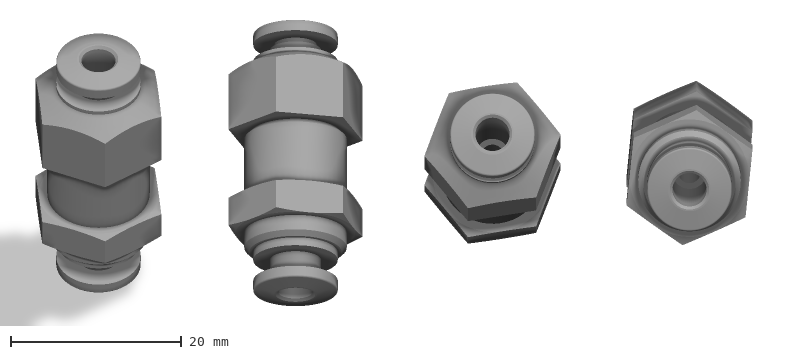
import cadquery as cq
import math

total_length = 33.0
hex_across_flats = 14.0
hex_across_corners = hex_across_flats / math.cos(math.radians(30))

release_radius = 9.9 / 2
neck_radius = 6.0 / 2
groove_radius = 5.0 / 2
body_radius = 12.0 / 2
passage_radius = 2.6 / 2
tube_radius = 4.0 / 2

lower_collar_bottom = 4.32
body_bottom = 5.3
nut_bottom = 7.72
nut_top = 11.7
head_bottom = 20.0
head_cone_top = 28.68
upper_collar_top = 29.17

button_length = 1.75
groove_length = 0.65
button_face_angle = 10.0
button_edge_round = 0.2

body_chamfer = 0.6
head_cone_angle = 30.0
nut_cone_angle = 15.0

socket_depth = 11.55
mouth_radius = 2.3
mouth_depth = 0.3


def cylinder(radius, bottom, top):
    return cq.Workplane("XY").workplane(offset=bottom).circle(radius).extrude(top - bottom)


def hex_prism(bottom, top):
    """Hexagon with its flats facing +X and -X."""
    prism = cq.Workplane("XY").polygon(6, hex_across_corners).extrude(top - bottom)
    return prism.rotate((0, 0, 0), (0, 0, 1), 30).translate((0, 0, bottom))


def cone_drop(inner_radius, outer_radius, angle):
    return (outer_radius - inner_radius) * math.tan(math.radians(angle))


def revolve_profile(points):
    """Revolve a closed (radius, height) outline about the Z axis."""
    return cq.Workplane("XZ").polyline(points).close().revolve(360, (0, 0, 0), (0, 1, 0))


def mirror_end(shape):
    """Mirror an end feature to the opposite end of the part."""
    return shape.mirror("XY").translate((0, 0, total_length))


def release_button():
    """Upper button: shallow conical face and rounded edge."""
    face_drop = cone_drop(groove_radius, release_radius, button_face_angle)
    button_bottom = total_length - button_length
    button = revolve_profile([
        (0, button_bottom),
        (release_radius, button_bottom),
        (release_radius, total_length - face_drop),
        (groove_radius, total_length),
        (0, total_length),
    ])
    button = button.edges(cq.selectors.RadiusNthSelector(-1)).edges(">Z").fillet(button_edge_round)
    groove = cylinder(groove_radius, button_bottom - groove_length, button_bottom)
    return button.union(groove)


def hex_head():
    """Upper hexagon cut back by a cone that starts at the collar."""
    corner_radius = hex_across_corners / 2
    corner_top = head_cone_top - cone_drop(release_radius, corner_radius, head_cone_angle)
    envelope = revolve_profile([
        (0, head_bottom),
        (corner_radius, head_bottom),
        (corner_radius, corner_top),
        (release_radius, head_cone_top),
        (0, head_cone_top),
    ])
    return hex_prism(head_bottom, head_cone_top).intersect(envelope)


def lock_nut():
    """Thin hexagon with corners chamfered on both faces."""
    corner_radius = hex_across_corners / 2
    face_radius = hex_across_flats / 2
    drop = cone_drop(face_radius, corner_radius, nut_cone_angle)
    envelope = revolve_profile([
        (0, nut_bottom),
        (face_radius, nut_bottom),
        (corner_radius, nut_bottom + drop),
        (corner_radius, nut_top - drop),
        (face_radius, nut_top),
        (0, nut_top),
    ])
    return hex_prism(nut_bottom, nut_top).intersect(envelope)


def tube_socket():
    """Upper socket with a conical lead-in."""
    socket_bottom = total_length - socket_depth
    return revolve_profile([
        (0, socket_bottom),
        (tube_radius, socket_bottom),
        (tube_radius, total_length - mouth_depth),
        (mouth_radius, total_length),
        (0, total_length),
    ])


body = cylinder(body_radius, body_bottom, head_bottom).faces("<Z or >Z").chamfer(body_chamfer)
neck_inset = button_length + groove_length
neck = cylinder(neck_radius, neck_inset, total_length - neck_inset)
collars = cylinder(release_radius, lower_collar_bottom, upper_collar_top)

solid = body.union(neck).union(collars).union(hex_head()).union(lock_nut())
solid = solid.union(release_button()).union(mirror_end(release_button()))
solid = solid.cut(tube_socket()).cut(mirror_end(tube_socket()))
solid = solid.cut(cylinder(passage_radius, 0, total_length))

result = solid.translate((0, 0, -total_length / 2))